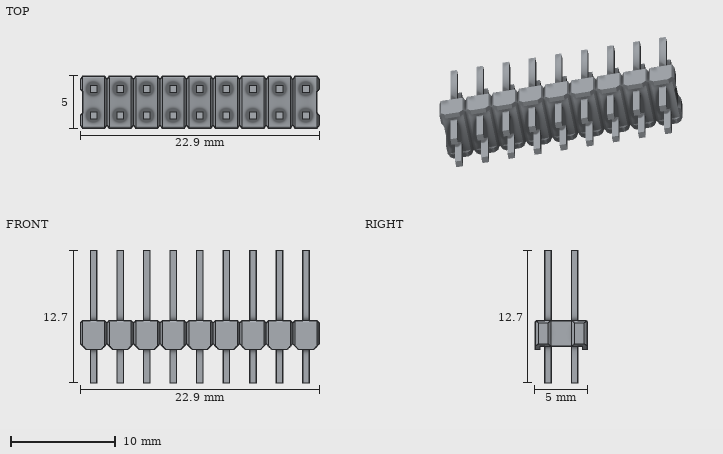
import cadquery as cq

columns = 9
total_length = 22.85
pitch = total_length / columns
body_depth = 5.0
pin_width = 0.65

body_height = 2.77
pin_length = 12.7
pin_drop = 3.22

top_rounding = 0.2
side_inset = 0.23
top_bevel_height = 0.2
corner_bevel_depth = 0.32
bottom_chamfer = 0.55

channel_height = 0.3
foot_depth = 0.48

recess_depth = side_inset
recess_floor_width = 2.0
recess_flare = 0.27
recess_mouth_width = recess_floor_width + 2 * recess_flare


def make_cell():
    """One block cell, centred in X and Y and standing on Z = 0."""
    side_x = pitch / 2
    front_y = body_depth / 2
    inset_x = side_x - side_inset
    bottom_x = side_x - bottom_chamfer

    block = cq.Workplane("XY").box(pitch, body_depth, body_height, centered=(True, True, False))
    block = block.faces(">Z").edges("|X").fillet(top_rounding)

    front_outline = (
        cq.Workplane("XZ")
        .moveTo(bottom_x, 0)
        .lineTo(side_x, bottom_chamfer)
        .lineTo(side_x, body_height - top_bevel_height)
        .lineTo(inset_x, body_height)
        .lineTo(-inset_x, body_height)
        .lineTo(-side_x, body_height - top_bevel_height)
        .lineTo(-side_x, bottom_chamfer)
        .lineTo(-bottom_x, 0)
        .close()
        .extrude(front_y, both=True)
    )

    corner_y = front_y - corner_bevel_depth
    plan_outline = (
        cq.Workplane("XY")
        .moveTo(-inset_x, -front_y)
        .lineTo(inset_x, -front_y)
        .lineTo(side_x, -corner_y)
        .lineTo(side_x, corner_y)
        .lineTo(inset_x, front_y)
        .lineTo(-inset_x, front_y)
        .lineTo(-side_x, corner_y)
        .lineTo(-side_x, -corner_y)
        .close()
        .extrude(body_height)
    )
    return block.intersect(front_outline).intersect(plan_outline)


def make_end_recess(side):
    """Full-height cutter for the flared recess at the end facing side * X."""
    end_x = side * total_length / 2
    floor_x = side * (total_length / 2 - recess_depth)
    return (
        cq.Workplane("XY")
        .moveTo(end_x, -recess_mouth_width / 2)
        .lineTo(floor_x, -recess_floor_width / 2)
        .lineTo(floor_x, recess_floor_width / 2)
        .lineTo(end_x, recess_mouth_width / 2)
        .close()
        .extrude(body_height)
    )


column_positions = [(i - (columns - 1) / 2) * pitch for i in range(columns)]

cell = make_cell()
result = cq.Workplane("XY")
for x in column_positions:
    result = result.union(cell.translate((x, 0, 0)))

channel_width = body_depth - 2 * foot_depth
channel = cq.Workplane("XY").box(total_length, channel_width, channel_height, centered=(True, True, False))
result = result.cut(channel)

for side in (-1, 1):
    result = result.cut(make_end_recess(side))

pin_positions = [(x, row * pitch / 2) for x in column_positions for row in (-1, 1)]
pins = (
    cq.Workplane("XY")
    .workplane(offset=-pin_drop)
    .pushPoints(pin_positions)
    .rect(pin_width, pin_width)
    .extrude(pin_length)
)
result = result.union(pins)